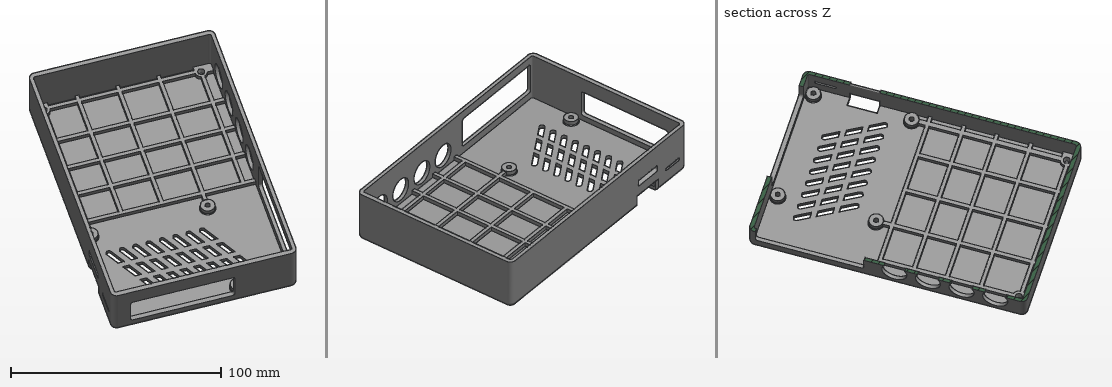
import cadquery as cq
import math

LENGTH = 138.0
WIDTH = 92.0
HEIGHT = 26.9
END_WALL = 2.3
SIDE_WALL = 2.0
FLOOR = 2.0
OUTER_RADIUS = 3.0
INNER_RADIUS = 1.0
BOTTOM_FILLET = 2.1

INNER_X = LENGTH / 2 - END_WALL
INNER_Y = WIDTH / 2 - SIDE_WALL

OVERCUT = 1.4
EMBED = 1.0

STANDOFF_XS = (14.0, 62.8)
STANDOFF_YS = (-40.0, 18.1)
STANDOFF_HEIGHT = 2.5
STANDOFF_DIAMETER = 7.0
STANDOFF_FLARE = 0.4
STANDOFF_HOLE_DIAMETER = 2.3

RIB_WIDTH = 2.0
FRONT_RIB_WIDTH = 2.3
RIB_HEIGHT = 2.1
CROSS_RIB_XS = (-63.8, -44.2, -27.2, -10.9, 6.0)
SHORT_RIB_YS = (-22.4, -2.2, 38.2)

PAD_X = -63.0
PAD_YS = (-40.0, 38.2)
PAD_RADIUS = 3.0
PAD_HEIGHT = RIB_HEIGHT
UPPER_PAD_NECK = 1.1
SCREW_MOUTH_DIAMETER = 3.3
SCREW_TIP_DIAMETER = 2.0
SCREW_DEPTH = 2.5

VENT_DIAMETER = 2.8
VENT_ANGLE = 30.0
VENT_COUNT = 8
VENT_PITCH = 6.6
VENT_START_X = 25.7
VENT_END_X = 51.0
VENT_FIRST_Y = -34.5
VENT_BAR_WIDTH = 2.8
VENT_BAR_XS = (34.0, 43.6)

PORT_DIAMETER = 12.4
PORT_COUNT = 4
PORT_PITCH = 16.7
PORT_FIRST_X = -53.7
PORT_Z = 10.0

WINDOW_RADIUS = 1.4
BACK_WINDOW_X = (11.6, 65.4)
BACK_WINDOW_Z = (6.0, 22.4)
END_WINDOW_Y = (-36.8, 14.9)
END_WINDOW_Z = (4.8, 18.9)

NOTCH_X = (31.0, 46.0)
NOTCH_TOP = 5.7
NOTCH_FLARE = 1.0
NOTCH_BACK_Y = -39.7
NOTCH_BACK_CHAMFER = 1.2
NOTCH_BACK_SETBACK = 0.7

SLOT_X = NOTCH_X
SLOT_Z = (12.0, 15.3)
SLOT_RISE = 1.5
SLOT_CORNER_RADIUS = 0.5
SLIT_X = (52.7, 63.3)
SLIT_Z = (8.0, 9.5)
SLIT_RISE = -1.1


def box(x_range, y_range, z_range):
    """Axis-aligned block between the given limits."""
    size = [high - low for low, high in (x_range, y_range, z_range)]
    corner = (x_range[0], y_range[0], z_range[0])
    return cq.Workplane("XY").box(*size, centered=False).translate(corner)


def make_shell():
    """Open tray with rounded corners and a rounded bottom edge."""
    outer = cq.Workplane("XY").box(LENGTH, WIDTH, HEIGHT, centered=(True, True, False))
    outer = outer.edges("|Z").fillet(OUTER_RADIUS).faces("<Z").edges().fillet(BOTTOM_FILLET)
    cavity = (
        cq.Workplane("XY")
        .workplane(offset=FLOOR)
        .rect(2 * INNER_X, 2 * INNER_Y)
        .extrude(HEIGHT)
        .edges("|Z")
        .fillet(INNER_RADIUS)
    )
    return outer.cut(cavity)


def make_ribs():
    """Grid of floor ribs; the two in line with the standoffs run on to meet them."""
    z_range = (FLOOR - EMBED, FLOOR + RIB_HEIGHT)
    half = RIB_WIDTH / 2
    wall_x = -INNER_X - EMBED
    wall_y = INNER_Y + EMBED
    ribs = cq.Workplane("XY")
    for x in CROSS_RIB_XS:
        ribs = ribs.union(box((x - half, x + half), (-wall_y, wall_y), z_range))
    for y in SHORT_RIB_YS:
        end_x = CROSS_RIB_XS[-1] + half
        ribs = ribs.union(box((wall_x, end_x), (y - half, y + half), z_range))
    for y, width in zip(STANDOFF_YS, (FRONT_RIB_WIDTH, RIB_WIDTH)):
        half = width / 2
        ribs = ribs.union(box((wall_x, STANDOFF_XS[0]), (y - half, y + half), z_range))
    return ribs


def cone(x, y, z, bottom_diameter, top_diameter, height):
    """Upright truncated cone standing at (x, y, z)."""
    solid = cq.Solid.makeCone(bottom_diameter / 2, top_diameter / 2, height, cq.Vector(x, y, z))
    return cq.Workplane(solid)


def upright_cylinder(x, y, diameter, top_z):
    """Vertical cylinder from the underside of the floor up to top_z."""
    return cq.Workplane("XY").center(x, y).circle(diameter / 2).extrude(top_z)


def add_standoffs(body):
    """Standoffs flared at the foot, each with a hole through the floor."""
    for x in STANDOFF_XS:
        for y in STANDOFF_YS:
            base_diameter = STANDOFF_DIAMETER + 2 * STANDOFF_FLARE
            base = cone(x, y, FLOOR, base_diameter, STANDOFF_DIAMETER, STANDOFF_FLARE)
            post = upright_cylinder(x, y, STANDOFF_DIAMETER, FLOOR + STANDOFF_HEIGHT)
            hole = upright_cylinder(x, y, STANDOFF_HOLE_DIAMETER, HEIGHT)
            body = body.union(base).union(post).cut(hole)
    return body


def add_pads(body):
    """Screw pads filling the two left corners, with tapered blind holes."""
    z_range = (FLOOR - EMBED, FLOOR + PAD_HEIGHT)
    wall_x = -INNER_X - EMBED
    wall_y = INNER_Y + EMBED
    low_y, high_y = PAD_YS
    to_end = ((wall_x, PAD_X), (low_y - PAD_RADIUS, low_y + PAD_RADIUS), z_range)
    to_front = ((wall_x, PAD_X + PAD_RADIUS), (-wall_y, low_y), z_range)
    upper_end = ((wall_x, PAD_X), (high_y - PAD_RADIUS, high_y + PAD_RADIUS), z_range)
    to_back = ((wall_x, PAD_X + UPPER_PAD_NECK), (high_y, wall_y), z_range)
    for limits in (to_end, to_front, upper_end, to_back):
        body = body.union(box(*limits))
    pad_top = FLOOR + PAD_HEIGHT
    for y in PAD_YS:
        body = body.union(upright_cylinder(PAD_X, y, 2 * PAD_RADIUS, pad_top))
        tip_z = pad_top - SCREW_DEPTH
        body = body.cut(
            cone(PAD_X, y, tip_z, SCREW_TIP_DIAMETER, SCREW_MOUTH_DIAMETER, SCREW_DEPTH)
        )
    return body


def make_vents():
    """Slanted round-ended slots with the two bars left standing."""
    run = VENT_END_X - VENT_START_X
    rise = run * math.tan(math.radians(VENT_ANGLE))
    slot_length = math.hypot(run, rise) + VENT_DIAMETER
    centers = [
        ((VENT_START_X + VENT_END_X) / 2, VENT_FIRST_Y + rise / 2 + row * VENT_PITCH)
        for row in range(VENT_COUNT)
    ]
    vents = (
        cq.Workplane("XY")
        .workplane(offset=-OVERCUT)
        .pushPoints(centers)
        .slot2D(slot_length, VENT_DIAMETER, VENT_ANGLE)
        .extrude(FLOOR + 2 * OVERCUT)
    )
    for x in VENT_BAR_XS:
        x_range = (x - VENT_BAR_WIDTH / 2, x + VENT_BAR_WIDTH / 2)
        bar = box(x_range, (-WIDTH / 2, WIDTH / 2), (-2 * OVERCUT, FLOOR + 2 * OVERCUT))
        vents = vents.cut(bar)
    return vents


def make_wall_openings():
    """Round ports and a window in the back wall, and a window in the right end wall."""
    back_y = (INNER_Y - EMBED, WIDTH / 2 + OVERCUT)
    end_x = (INNER_X - EMBED, LENGTH / 2 + OVERCUT)
    openings = box(BACK_WINDOW_X, back_y, BACK_WINDOW_Z).edges("|Y").fillet(WINDOW_RADIUS)
    end_window = box(end_x, END_WINDOW_Y, END_WINDOW_Z).edges("|X").fillet(WINDOW_RADIUS)
    openings = openings.union(end_window)
    for index in range(PORT_COUNT):
        x = PORT_FIRST_X + index * PORT_PITCH
        port = cq.Solid.makeCylinder(
            PORT_DIAMETER / 2,
            back_y[1] - back_y[0],
            cq.Vector(x, back_y[0], PORT_Z),
            cq.Vector(0, 1, 0),
        )
        openings = openings.union(cq.Workplane(port))
    return openings


def make_notch():
    """Card notch flared towards the outside, with the floor edge behind it chamfered below."""
    front_y = -WIDTH / 2
    x_low, x_high = NOTCH_X
    profile = [
        (front_y - OVERCUT, -OVERCUT),
        (front_y - OVERCUT, NOTCH_TOP),
        (NOTCH_BACK_Y, NOTCH_TOP),
        (NOTCH_BACK_Y, NOTCH_BACK_CHAMFER),
        (NOTCH_BACK_Y + NOTCH_BACK_SETBACK, 0),
        (NOTCH_BACK_Y + NOTCH_BACK_SETBACK, -OVERCUT),
    ]
    width = x_high - x_low
    notch = cq.Workplane("YZ").workplane(offset=x_low).polyline(profile).close().extrude(width)
    mid_x = (x_low + x_high) / 2
    flare = (
        cq.Workplane("XZ", origin=(mid_x, front_y, 0))
        .rect(width + 2 * NOTCH_FLARE, 2 * (NOTCH_TOP + NOTCH_FLARE))
        .workplane(offset=-NOTCH_FLARE)
        .rect(width, 2 * NOTCH_TOP)
        .loft()
    )
    return notch.union(flare)


def make_sloping_slot(x_range, z_range, rise):
    """Slot through the front wall whose floor and roof change height by rise on the way in."""
    front_y = -WIDTH / 2
    z_low, z_high = z_range
    profile = [
        (front_y, z_low),
        (front_y, z_high),
        (-INNER_Y, z_high + rise),
        (-INNER_Y, z_low + rise),
    ]
    return (
        cq.Workplane("YZ")
        .workplane(offset=x_range[0])
        .polyline(profile)
        .close()
        .extrude(x_range[1] - x_range[0])
        .edges("not(|X or |Z)")
        .fillet(SLOT_CORNER_RADIUS)
    )


body = make_shell().union(make_ribs())
body = add_pads(add_standoffs(body))
body = body.cut(make_vents()).cut(make_wall_openings()).cut(make_notch())
body = body.cut(make_sloping_slot(SLOT_X, SLOT_Z, SLOT_RISE))
result = body.cut(make_sloping_slot(SLIT_X, SLIT_Z, SLIT_RISE))